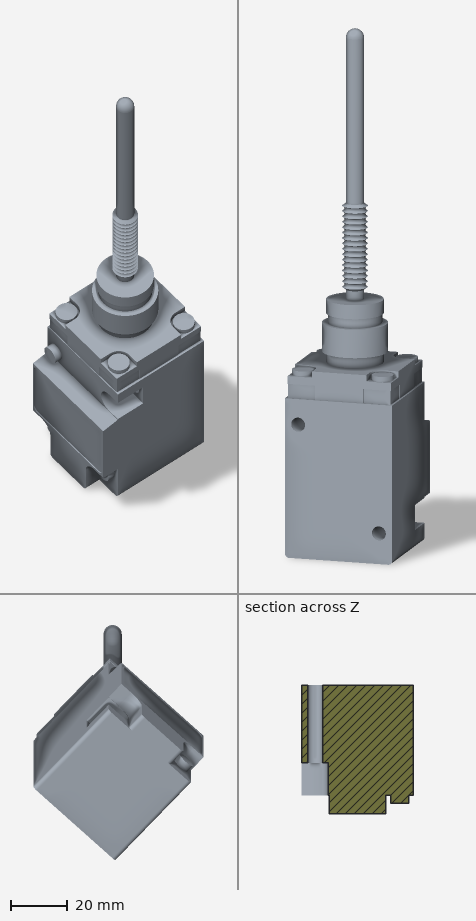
import cadquery as cq
import math


housing_width = 39.5
housing_height = 57.5
half_width = housing_width / 2
back_y = half_width
face_y = -19.1
front_y = -25.7
pocket_floor_y = -7.7
bottom_round = 1.5

cover_top_back = 43.4
cover_top_front = 42.0
panel_width = 38.3
panel_bottom = 16.9
panel_top = 41.5
panel_corner = 2.3
panel_depth = 0.4
step_radius = 4.9

fixing_x = 14.8
fixing_low_z = 11.0
fixing_high_z = 48.2
hole_diameter = 5.0
pocket_radius = 4.5
cover_screw_diameter = 6.4
cover_screw_height = 2.8

head_width = 38.0
head_half = head_width / 2
head_top = 67.5
screw_offset = 14.6
head_screw_diameter = 7.7
screw_pocket_radius = 4.7
screw_pocket_depth = 2.3
head_screw_height = 1.9
corner_relief_width = 10.1
corner_relief_height = 5.0
corner_relief_depth = 0.2

turret_rings = [(20.3, 71.5), (23.3, 81.8), (19.1, 85.2), (20.3, 90.3)]

total_height = 187.7
rod_radius = 3.2
spring_bottom = 93.7
spring_length = 31.2
spring_end_taper = 1.0
ridge_radius = 4.5
groove_depth = 0.8
groove_count = 15


def front_plane(y):
    """Plane at depth y with X to the right, Z up and the normal towards -Y."""
    return cq.Workplane("XZ", origin=(0, y, 0))


def make_base():
    base = (
        front_plane(back_y)
        .center(0, housing_height / 2)
        .rect(housing_width, housing_height)
        .extrude(back_y - face_y)
    )
    return base.edges("|Y and <Z").fillet(bottom_round)


def make_cover():
    """Front slab: full width at the panel, narrowed below it to clear the fixings."""
    step_top = fixing_low_z + step_radius
    block_half = fixing_x - step_radius
    slab = (
        front_plane(face_y)
        .moveTo(-half_width, cover_top_back)
        .lineTo(half_width, cover_top_back)
        .lineTo(half_width, step_top)
        .lineTo(fixing_x, step_top)
        .radiusArc((block_half, fixing_low_z), -step_radius)
        .lineTo(block_half, bottom_round)
        .radiusArc((block_half - bottom_round, 0), bottom_round)
        .lineTo(bottom_round - block_half, 0)
        .radiusArc((-block_half, bottom_round), bottom_round)
        .lineTo(-block_half, fixing_low_z)
        .radiusArc((-fixing_x, step_top), -step_radius)
        .lineTo(-half_width, step_top)
        .close()
        .extrude(face_y - front_y)
    )
    slope = (
        cq.Workplane("YZ", origin=(-half_width, 0, 0))
        .polyline([(face_y, cover_top_back), (front_y, cover_top_front), (front_y, cover_top_back)])
        .close()
        .extrude(housing_width)
    )
    panel_height = panel_top - panel_bottom
    panel = (
        front_plane(front_y + panel_depth)
        .center(0, panel_bottom + panel_height / 2)
        .rect(panel_width, panel_height)
        .extrude(panel_depth)
        .edges("|Y")
        .fillet(panel_corner)
    )
    return slab.cut(slope).cut(panel)


def mounting_cut(side, z):
    """Through hole in a U-shaped pocket that opens at the given side (-1 or 1)."""
    depth = pocket_floor_y - front_y
    x = side * fixing_x
    hole = front_plane(back_y).center(x, z).circle(hole_diameter / 2).extrude(back_y - front_y)
    round_end = front_plane(pocket_floor_y).center(x, z).circle(pocket_radius).extrude(depth)
    opening = (
        front_plane(pocket_floor_y)
        .center(x + side * pocket_radius, z)
        .rect(2 * pocket_radius, 2 * pocket_radius)
        .extrude(depth)
    )
    return hole.union(round_end).union(opening)


def cover_screw(side, z):
    return (
        front_plane(face_y)
        .center(side * fixing_x, z)
        .circle(cover_screw_diameter / 2)
        .extrude(cover_screw_height)
    )


def make_head():
    """Square head with a screw recessed in each corner and shallow corner reliefs."""
    def layer(z):
        return cq.Workplane("XY", origin=(0, 0, z))

    head = layer(housing_height).rect(head_width, head_width).extrude(head_top - housing_height)
    pocket_floor = head_top - screw_pocket_depth
    pocket_size = head_half - screw_offset + screw_pocket_radius
    relief_size = 2 * corner_relief_width
    core_width = head_width - 2 * corner_relief_depth
    core = layer(housing_height).rect(core_width, core_width).extrude(corner_relief_height)
    for side_x in (-1, 1):
        for side_y in (-1, 1):
            pocket = (
                layer(pocket_floor)
                .center(side_x * (head_half - pocket_size / 2), side_y * (head_half - pocket_size / 2))
                .rect(pocket_size, pocket_size)
                .extrude(screw_pocket_depth)
                .edges("|Z")
                .edges(cq.selectors.NearestToPointSelector((0, 0, head_top)))
                .fillet(screw_pocket_radius)
            )
            screw = (
                layer(pocket_floor)
                .center(side_x * screw_offset, side_y * screw_offset)
                .circle(head_screw_diameter / 2)
                .extrude(head_screw_height)
            )
            relief = (
                layer(housing_height)
                .center(side_x * head_half, side_y * head_half)
                .rect(relief_size, relief_size)
                .extrude(corner_relief_height)
                .cut(core)
            )
            head = head.cut(pocket).cut(relief).union(screw)
    return head


def make_actuator():
    """Turret, spring and round-ended rod, turned as one profile about the Z axis."""
    profile = cq.Workplane("XZ").moveTo(0, head_top)
    z = head_top
    for diameter, ring_top in turret_rings:
        profile = profile.lineTo(diameter / 2, z).lineTo(diameter / 2, ring_top)
        z = ring_top
    profile = profile.lineTo(rod_radius, z).lineTo(rod_radius, spring_bottom)

    spring_top = spring_bottom + spring_length
    first_ridge = spring_bottom + spring_end_taper
    pitch = (spring_length - 2 * spring_end_taper) / groove_count
    profile = profile.lineTo(ridge_radius, first_ridge)
    for groove in range(groove_count):
        ridge = first_ridge + groove * pitch
        valley = (ridge_radius - groove_depth, ridge + pitch / 2)
        profile = profile.threePointArc(valley, (ridge_radius, ridge + pitch))
    profile = profile.lineTo(rod_radius, spring_top)

    tip_center = total_height - rod_radius
    tip_mid = rod_radius * math.sqrt(0.5)
    profile = profile.lineTo(rod_radius, tip_center)
    profile = profile.threePointArc((tip_mid, tip_center + tip_mid), (0, total_height))
    return profile.close().revolve(360, (0, 0, 0), (0, 1, 0))


result = make_base().union(make_cover())

for side, z in ((-1, fixing_low_z), (1, fixing_high_z)):
    result = result.cut(mounting_cut(side, z))
for side, z in ((-1, fixing_high_z), (1, fixing_low_z)):
    result = result.union(cover_screw(side, z))

result = result.union(make_head()).union(make_actuator())